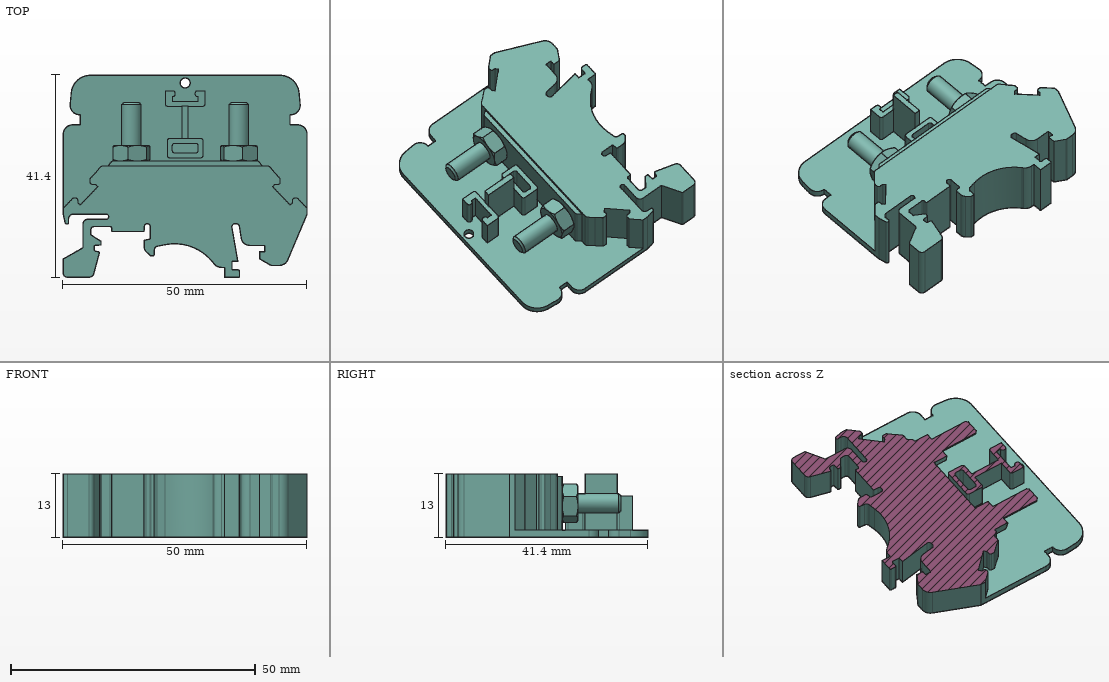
import cadquery as cq
import math

half_width = 25.0
total_depth = 41.4
total_height = 13.0
plate_thickness = 1.5

body_top = 22.8
ridge_top = 23.8
ridge_height = 12.5
ridge_half_top = 15.0
ridge_half_bottom = 15.8
ridge_corner_radius = 0.5

stud_diameter = 4.0
stud_offset = 11.0
stud_axis_height = 7.0
stud_end = 35.8
stud_chamfer = 0.45
nut_thickness = 3.2
nut_across_flats = 7.0
nut_turn = 40.0
nut_chamfer_angle = 30.0

clip_height = 8.5
clip_bottom = 35.0
clip_top = 38.2
clip_half_width = 4.05
clip_wall = 1.0
clip_side_inner = 2.6
hook_tip = 2.05
hook_thickness = 1.2
hook_radius = 0.5
clip_corner_radius = 0.5
rib_thickness = 1.2
rib_end = 35.1
box_height = 8.5
box_width = 7.3
box_bottom = 24.45
box_top = 28.45
box_wall = 1.0
box_corner_radius = 0.5

plate_hole_diameter = 2.0
plate_hole_y = 39.8

PLATE_CORNERS = [
    (23.02, total_depth, 4.0),
    (23.77, 33.25, 2.0),
    (21.5, 33.25, 0),
    (21.5, 31.25, 0),
    (half_width, 31.25, 2.0),
]

SHOULDER_CORNERS = [
    (17.2, body_top, 0.8),
    (18.35, 21.4, 0),
    (19.47, 20.2, 0.2),
    (19.47, 19.05, 0.4),
    (18.4, 19.05, 0.3),
    (17.9, 18.55, 0),
    (21.5, 14.8, 0),
    (22.0, 15.3, 0.3),
    (22.0, 16.2, 0.4),
    (23.0, 16.2, 0.3),
    (half_width, 14.1, 0),
]

RIGHT_HOOK_CORNERS = [
    (half_width, 12.95, 0),
    (20.55, 2.4, 2.0),
    (17.6, 2.4, 0.5),
    (15.25, 3.75, 0),
    (15.25, 5.25, 0),
    (16.25, 5.25, 0),
    (16.25, 6.5, 0),
    (11.7, 6.5, 1.8),
    (11.0, 10.95, 0.6),
    (9.47, 10.95, 0.6),
]
RIGHT_FOOT_CORNERS = [
    (10.8, 3.25, 0),
    (9.6, 3.25, 0),
    (9.6, 1.55, 0.2),
    (11.15, 1.55, 0.4),
    (11.15, 0, 0.2),
    (8.1, 0, 0),
    (8.1, 2.0, 0),
]
SADDLE_CORNERS = [
    (6.5, 2.0, 2.0),
    (1.9, 7.87, 10.0),
    (-6.25, 6.22, 0.7),
    (-6.35, 4.4, 0.15),
    (-7.1, 4.4, 0.3),
    (-8.4, 5.6, 1.2),
    (-8.4, 7.6, 0.2),
    (-7.2, 7.85, 0),
    (-7.2, 10.95, 0.5),
    (-8.3, 10.95, 0.5),
    (-8.4, 9.35, 0.1),
]
LEFT_FOOT_CORNERS = [
    (-15.05, 9.35, 0.15),
    (-15.05, 10.35, 0.3),
    (-19.3, 10.35, 0.6),
    (-19.3, 8.7, 0.1),
    (-17.2, 7.35, 0.3),
    (-17.2, 6.6, 0.1),
    (-18.6, 6.5, 0.1),
    (-18.6, 5.4, 0.3),
    (-17.5, 5.2, 0.3),
    (-18.9, 0, 1.0),
    (-half_width, 0, 0.9),
    (-half_width, 3.75, 0.2),
    (-20.95, 6.05, 0),
]
LEFT_LIP_CORNERS = [
    (-20.95, 11.9, 1.0),
    (-15.7, 11.9, 0.45),
    (-15.7, 12.9, 0.45),
    (-23.85, 12.9, 0.9),
    (-23.85, 10.9, 0.3),
    (-24.55, 10.9, 0.4),
    (-half_width, 12.95, 0),
]
RAIL_CORNERS = (
    RIGHT_HOOK_CORNERS
    + RIGHT_FOOT_CORNERS
    + SADDLE_CORNERS
    + LEFT_FOOT_CORNERS
    + LEFT_LIP_CORNERS
)


def mirrored(corners):
    """The same corners on the other side of the mid plane, in reverse order."""
    return [(-x, y, radius) for x, y, radius in reversed(corners)]


def rounding(before, corner, after):
    """Start, middle and end of the arc that rounds a corner."""
    x, y, radius = corner
    angle_in = math.atan2(before[1] - y, before[0] - x)
    angle_out = math.atan2(after[1] - y, after[0] - x)
    half_angle = math.acos(math.cos(angle_in - angle_out)) / 2
    tangent = radius / math.tan(half_angle)
    to_middle = radius / math.sin(half_angle) - radius
    bisector = math.atan2(
        math.sin(angle_in) + math.sin(angle_out),
        math.cos(angle_in) + math.cos(angle_out),
    )

    def along(angle, distance):
        return (x + distance * math.cos(angle), y + distance * math.sin(angle))

    return along(angle_in, tangent), along(bisector, to_middle), along(angle_out, tangent)


def prism(corners, height):
    """Upright prism on Z = 0 over a closed outline with rounded corners."""
    outline = cq.Workplane("XY")
    started = False
    for index, corner in enumerate(corners):
        before = corners[index - 1]
        after = corners[(index + 1) % len(corners)]
        if corner[2] > 0:
            start, middle, end = rounding(before, corner, after)
        else:
            start = corner[:2]
        outline = outline.lineTo(*start) if started else outline.moveTo(*start)
        started = True
        if corner[2] > 0:
            outline = outline.threePointArc(middle, end)
    return outline.close().extrude(height)


def make_plate():
    plate = prism(mirrored(PLATE_CORNERS) + PLATE_CORNERS + RAIL_CORNERS, plate_thickness)
    hole = cq.Workplane("XY").center(0, plate_hole_y).circle(plate_hole_diameter / 2)
    return plate.cut(hole.extrude(plate_thickness))


def make_body():
    return prism(mirrored(SHOULDER_CORNERS) + SHOULDER_CORNERS + RAIL_CORNERS, total_height)


def make_ridge():
    half = [
        (ridge_half_top, ridge_top, ridge_corner_radius),
        (ridge_half_bottom, body_top, 0),
    ]
    return prism(mirrored(half) + half, ridge_height)


def make_stud(side):
    """Stud with its nut; side is -1 for the left one and 1 for the right one."""
    seat = cq.Workplane("XZ", origin=(side * stud_offset, ridge_top, stud_axis_height))
    stud = seat.circle(stud_diameter / 2).extrude(ridge_top - stud_end)
    stud = stud.faces(">Y").chamfer(stud_chamfer)

    corner_radius = nut_across_flats / math.sqrt(3)
    chamfer_width = corner_radius - nut_across_flats / 2
    chamfer_depth = chamfer_width * math.tan(math.radians(nut_chamfer_angle))
    hexagon = seat.polygon(6, 2 * corner_radius).extrude(-nut_thickness)
    axis_start = (side * stud_offset, 0, stud_axis_height)
    axis_end = (side * stud_offset, 1, stud_axis_height)
    hexagon = hexagon.rotate(axis_start, axis_end, side * nut_turn)
    half_section = [
        (0, 0),
        (corner_radius - chamfer_width, 0),
        (corner_radius, chamfer_depth),
        (corner_radius, nut_thickness - chamfer_depth),
        (corner_radius - chamfer_width, nut_thickness),
        (0, nut_thickness),
    ]
    envelope = cq.Workplane("XY", origin=(side * stud_offset, ridge_top, stud_axis_height))
    envelope = envelope.polyline(half_section).close().revolve(360, (0, 0, 0), (0, 1, 0))
    return stud.union(hexagon.intersect(envelope))


def make_clip():
    hook_bottom = clip_top - hook_thickness
    clip_floor = clip_bottom + clip_wall
    half = [
        (clip_side_inner, clip_floor, 0),
        (clip_side_inner, hook_bottom, 0),
        (hook_tip, hook_bottom, hook_radius),
        (hook_tip, clip_top, hook_radius),
        (clip_half_width, clip_top, 0),
        (clip_half_width, clip_bottom, clip_corner_radius),
    ]
    return prism(half + mirrored(half), clip_height)


def make_rib():
    rib = cq.Workplane("XY").center(0, (box_top + rib_end) / 2)
    return rib.rect(rib_thickness, rib_end - box_top).extrude(total_height)


def make_box():
    centre = cq.Workplane("XY").center(0, (box_bottom + box_top) / 2)
    depth = box_top - box_bottom
    box = centre.rect(box_width, depth).extrude(box_height)
    pocket = centre.rect(box_width - 2 * box_wall, depth - 2 * box_wall).extrude(box_height)
    box = box.edges("|Z").fillet(box_corner_radius)
    pocket = pocket.edges("|Z").fillet(box_corner_radius)
    return box.cut(pocket)


result = make_plate().union(make_body()).union(make_ridge())
result = result.union(make_clip()).union(make_rib()).union(make_box())
for side in (-1, 1):
    result = result.union(make_stud(side))